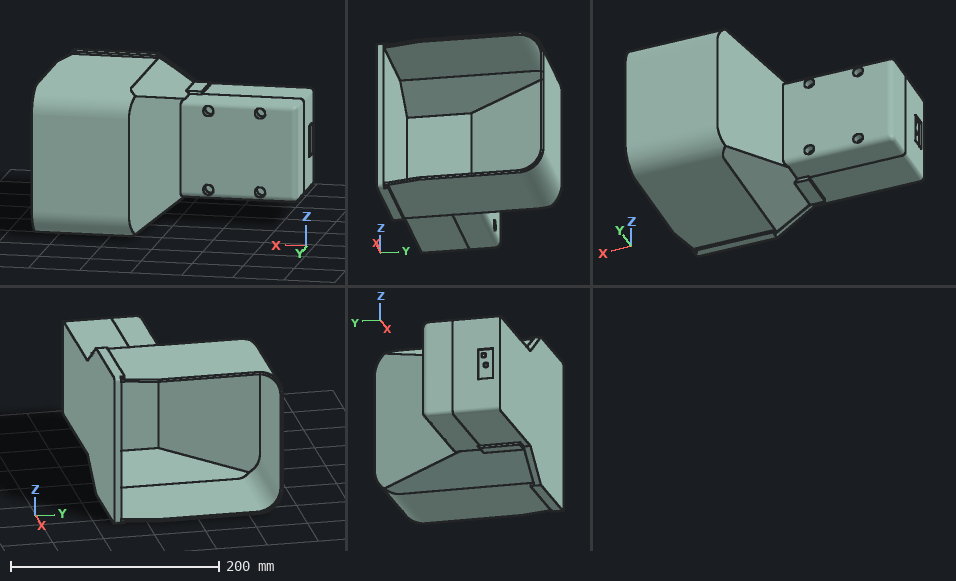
import cadquery as cq

LENGTH = 242.5
HEIGHT = 164.0
BASE_WIDTH = 150.0

HANDLE_WIDTH = 96.0
HANDLE_HEIGHT = 77.8
PARTING_Y = 46.8
CORNER_RADIUS = 4.0
COVER_EDGE_RADIUS = 6.0

SCREW_HOLE_DIAMETER = 10.0
SCREW_HOLE_DEPTH = 9.7
SCREW_HOLE_X = [36.5, 87.3]
SCREW_HOLE_SPACING_Z = 77.5

PLATE_THICKNESS = 6.8
PLATE_END_X = 236.7
PLATE_FLARE_START_X = 113.2
PLATE_FLARE_END_X = 152.3
LIP_HEIGHT = 10.7

HOOD_WIDTH = 145.5
HOOD_WALL = 2.5
HOOD_START_X = 111.5
HOOD_FLARE_END_X = 150.0
HOOD_EDGE_RADIUS = 24.7
SLANT_START_Y = 69.8
SLANT_END_X = 147.2
RIM_FOOT_X = 235.2
RIM_TAPER_END_Y = 42.5

SKIRT_START_X = 100.0
SKIRT_THICKNESS = 2.5
SKIRT_TOP_Y = 49.0

PANEL_WIDTH = 30.0
PANEL_HEIGHT = 14.8
PANEL_DEPTH = 2.5
SOCKET_DIAMETER = 4.5
SOCKET_MOUTH_DEPTH = 0.5
SOCKET_TIP_DIAMETER = 4.0
SOCKET_TIP_DEPTH = 1.5
SOCKET_CENTRES = [(16.7, 9.5), (14.5, -0.5)]

handle_half = HANDLE_WIDTH / 2
base_half = BASE_WIDTH / 2
hood_half = HOOD_WIDTH / 2


def plan_prism(half_outline, bottom_y, top_y):
    """Extrude along Y an outline given by its +Z half as (x, z) points and mirrored in Z."""
    mirrored = [(x, -z) for x, z in reversed(half_outline)]
    return (
        cq.Workplane("XZ", origin=(0, bottom_y, 0))
        .polyline(half_outline + mirrored)
        .close()
        .extrude(bottom_y - top_y)
    )


def side_prism(outline, width):
    """Extrude an (x, y) outline along Z, centred on Z = 0."""
    return cq.Workplane("XY").polyline(outline).close().extrude(width / 2, both=True)


def make_plate():
    """Flared plate that carries the hood, with a raised lip along each straight side."""
    flared_half = [
        (HOOD_START_X, handle_half),
        (PLATE_FLARE_START_X, handle_half),
        (PLATE_FLARE_END_X, base_half),
        (PLATE_END_X, base_half),
    ]
    plate = plan_prism(flared_half, 0, PLATE_THICKNESS)
    plate = plate.edges("|Y and >X").fillet(CORNER_RADIUS)
    lip_length = PLATE_END_X - CORNER_RADIUS - PLATE_FLARE_END_X
    lip_thickness = base_half - hood_half
    for side in (1, -1):
        lip = cq.Workplane("XY").box(lip_length, LIP_HEIGHT, lip_thickness, centered=(False, False, True))
        lip_z = side * (base_half - lip_thickness / 2)
        plate = plate.union(lip.translate((PLATE_FLARE_END_X, 0, lip_z)))
    return plate


def make_base():
    """Lower half of the handle in one piece with the plate."""
    handle = cq.Workplane("XY").box(HOOD_START_X, PARTING_Y, HANDLE_WIDTH, centered=(False, False, True))
    handle = handle.edges("|Y and <X").fillet(CORNER_RADIUS)
    base = handle.union(make_plate())

    panel = cq.Workplane("XY").box(PANEL_DEPTH, PANEL_HEIGHT, PANEL_WIDTH, centered=(False, False, True))
    base = base.cut(panel.translate((0, PLATE_THICKNESS, 0)))
    socket_profile = [
        (0, 0),
        (0, SOCKET_DIAMETER / 2),
        (SOCKET_MOUTH_DEPTH, SOCKET_DIAMETER / 2),
        (SOCKET_MOUTH_DEPTH, SOCKET_TIP_DIAMETER / 2),
        (SOCKET_MOUTH_DEPTH + SOCKET_TIP_DEPTH, 0),
    ]
    socket = cq.Workplane("XY").polyline(socket_profile).close().revolve(360, (0, 0, 0), (1, 0, 0))
    for y, z in SOCKET_CENTRES:
        base = base.cut(socket.translate((PANEL_DEPTH, y, z)))
    return base


def slant_x(y):
    """X of the hood's slanted front at height y."""
    return HOOD_START_X + (SLANT_END_X - HOOD_START_X) * (y - SLANT_START_Y) / (HEIGHT - SLANT_START_Y)


def make_cover():
    """Upper half of the handle, cut off against the front of the hood."""
    outline = [
        (0, PARTING_Y),
        (HOOD_START_X, PARTING_Y),
        (HOOD_START_X, SLANT_START_Y),
        (slant_x(HANDLE_HEIGHT), HANDLE_HEIGHT),
        (0, HANDLE_HEIGHT),
    ]
    cover = side_prism(outline, HANDLE_WIDTH)
    cover = cover.faces(">Y").edges("not >X").fillet(COVER_EDGE_RADIUS)
    cover = cover.edges("|Y and <X").fillet(CORNER_RADIUS)

    for x in SCREW_HOLE_X:
        for side in (1, -1):
            hole = cq.Solid.makeCylinder(
                SCREW_HOLE_DIAMETER / 2,
                SCREW_HOLE_DEPTH,
                pnt=cq.Vector(x, HANDLE_HEIGHT, side * SCREW_HOLE_SPACING_Z / 2),
                dir=cq.Vector(0, -1, 0),
            )
            cover = cover.cut(cq.Workplane(hole))
    return cover


def make_hood():
    """Hollow hood with a slanted front, a tapered rim at its open end and two skirts."""
    side_outline = [
        (HOOD_START_X, PLATE_THICKNESS),
        (LENGTH, PLATE_THICKNESS),
        (LENGTH, HEIGHT),
        (SLANT_END_X, HEIGHT),
        (HOOD_START_X, SLANT_START_Y),
    ]
    flared_half = [
        (HOOD_START_X, handle_half),
        (HOOD_FLARE_END_X, hood_half),
        (LENGTH, hood_half),
    ]
    rounded_block = (
        cq.Workplane("XY")
        .box(LENGTH, HEIGHT, HOOD_WIDTH, centered=(False, False, True))
        .edges("|X and >Y")
        .fillet(HOOD_EDGE_RADIUS)
    )
    hood = side_prism(side_outline, HOOD_WIDTH)
    hood = hood.intersect(plan_prism(flared_half, PLATE_THICKNESS, HEIGHT)).intersect(rounded_block)
    hood = hood.faces(">X or <Y").shell(-HOOD_WALL)

    rim_waste = side_prism(
        [
            (RIM_FOOT_X, PLATE_THICKNESS),
            (LENGTH, PLATE_THICKNESS),
            (LENGTH, RIM_TAPER_END_Y),
            (RIM_FOOT_X, LIP_HEIGHT),
        ],
        HOOD_WIDTH,
    )
    hood = hood.cut(rim_waste)

    skirt_z = handle_half + SKIRT_THICKNESS
    flare_slope = (hood_half - handle_half) / (HOOD_FLARE_END_X - HOOD_START_X)
    skirt_end_x = HOOD_START_X + SKIRT_THICKNESS / flare_slope
    for side in (1, -1):
        skirt = (
            cq.Workplane("YZ", origin=(SKIRT_START_X, 0, 0))
            .moveTo(PLATE_THICKNESS, side * handle_half)
            .lineTo(PLATE_THICKNESS, side * skirt_z)
            .lineTo(PARTING_Y, side * skirt_z)
            .lineTo(SKIRT_TOP_Y, side * handle_half)
            .close()
            .extrude(skirt_end_x - SKIRT_START_X)
        )
        hood = hood.union(skirt)
    return hood


base = make_base()
cover = make_cover()
hood = make_hood()

result = cq.Compound.makeCompound([base.val(), cover.val(), hood.val()])